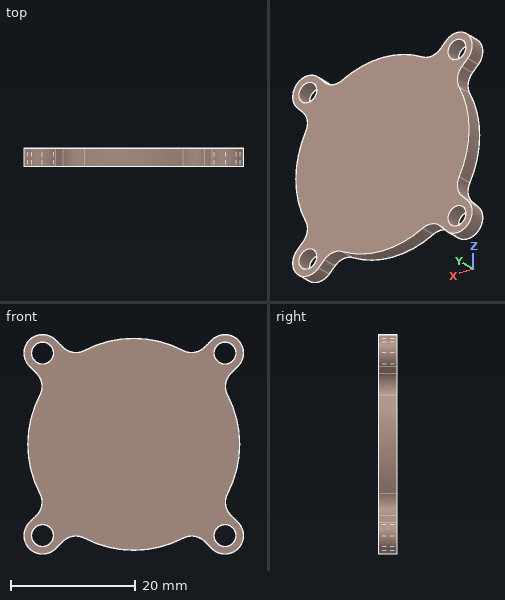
import cadquery as cq
import math

THICKNESS = 3.0
DISC_RADIUS = 17.1
BOLT_CIRCLE_RADIUS = 20.8
EAR_RADIUS = 3.0
HOLE_DIAMETER = 3.5
BLEND_RADIUS = 3.0
EAR_COUNT = 4
EAR_PITCH = 360 / EAR_COUNT
EAR_ANGLES = [(index + 0.5) * EAR_PITCH for index in range(EAR_COUNT)]

BLEND_OFFSET = EAR_RADIUS + BLEND_RADIUS
BLEND_REACH = math.sqrt((DISC_RADIUS + BLEND_RADIUS) ** 2 - BLEND_OFFSET ** 2)
BLEND_ANGLE = math.degrees(math.atan2(BLEND_OFFSET, BLEND_REACH))


def polar(radius, angle):
    """Point at a radius and an angle in degrees from +X."""
    turn = math.radians(angle)
    return (radius * math.cos(turn), radius * math.sin(turn))


def from_arm(along, across, arm_angle):
    """Point given along and across an arm, turned to the arm's angle."""
    return polar(math.hypot(along, across), arm_angle + math.degrees(math.atan2(across, along)))


def blend_middle(side, arm_angle):
    """Midpoint of the blend arc on one side (-1 or +1) of an arm."""
    direction = math.radians((90 + BLEND_ANGLE) / 2)
    along = BLEND_REACH - BLEND_RADIUS * math.cos(direction)
    across = BLEND_OFFSET - BLEND_RADIUS * math.sin(direction)
    return from_arm(along, side * across, arm_angle)


def add_ear(outline, angle):
    """Trace blend, arm, rounded ear and blend, then the disc rim to the next ear."""
    return (
        outline
        .threePointArc(blend_middle(-1, angle), from_arm(BLEND_REACH, -EAR_RADIUS, angle))
        .lineTo(*from_arm(BOLT_CIRCLE_RADIUS, -EAR_RADIUS, angle))
        .threePointArc(
            polar(BOLT_CIRCLE_RADIUS + EAR_RADIUS, angle),
            from_arm(BOLT_CIRCLE_RADIUS, EAR_RADIUS, angle),
        )
        .lineTo(*from_arm(BLEND_REACH, EAR_RADIUS, angle))
        .threePointArc(blend_middle(1, angle), polar(DISC_RADIUS, angle + BLEND_ANGLE))
        .threePointArc(
            polar(DISC_RADIUS, angle + EAR_PITCH / 2),
            polar(DISC_RADIUS, angle + EAR_PITCH - BLEND_ANGLE),
        )
    )


def front_plane():
    """Workplane on the front face (the -Y side), with its normal along -Y."""
    return cq.Workplane("XZ").workplane(offset=THICKNESS / 2)


def make_plate():
    """Disc with four rounded ears, as one extruded outline."""
    outline = front_plane().moveTo(*polar(DISC_RADIUS, EAR_ANGLES[0] - BLEND_ANGLE))
    for angle in EAR_ANGLES:
        outline = add_ear(outline, angle)
    return outline.close().extrude(-THICKNESS)


def make_holes():
    """Cylinders for the through holes at the ear centres."""
    centres = [polar(BOLT_CIRCLE_RADIUS, angle) for angle in EAR_ANGLES]
    return (
        front_plane()
        .pushPoints(centres)
        .circle(HOLE_DIAMETER / 2)
        .extrude(-THICKNESS)
    )


result = make_plate().cut(make_holes())